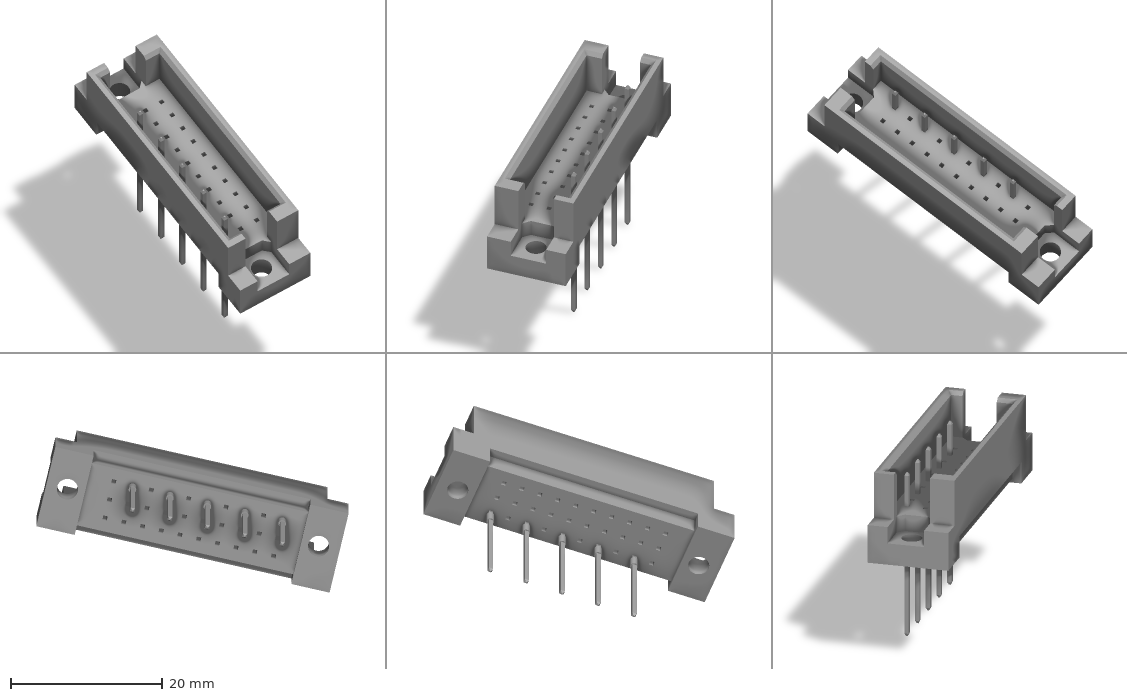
import cadquery as cq

length = 39.8
width = 11.1
height = 11.65
flange_length = 2.9
flange_height = 5.3
shroud_length = length - 2 * flange_length
long_wall = 1.2

relief_length = 29.4
base_bottom = 0.6
side_relief_top = 3.0
side_relief_depth = long_wall

cavity_floor = flange_height
cavity_half_width = width / 2 - long_wall
narrow_cavity_length = 29.1
wide_cavity_length = 31.1
lead_in = 0.5

pocket_y = -0.3
pocket_width = 5.0
pocket_floor = 3.0
pocket_inner_x = 14.7
pocket_corner = 0.9
mount_hole_x = 17.05
mount_hole_diameter = 2.8

pitch = 2.54
columns = 10
rows = 3
grid_x = 0.15
overall_height = 24.6
pin_size = 0.6
pin_bottom = height - overall_height
pin_top = 10.1
point_length = 0.4
point_size = 0.2
collar_diameter = 1.0
collar_length = 1.45
pin_row_y = -pitch
pin_columns = range(1, columns, 2)


def column_x(column):
    return grid_x + (column - (columns - 1) / 2) * pitch


def block(size_x, y_min, y_max, z_min, z_max):
    """Box centred on X = 0."""
    return (
        cq.Workplane("XY", origin=(0, (y_min + y_max) / 2, z_min))
        .rect(size_x, y_max - y_min)
        .extrude(z_max - z_min)
    )


def square_frustum(z_start, size_start, z_end, size_end):
    return (
        cq.Workplane("XY", origin=(0, 0, z_start))
        .rect(size_start, size_start)
        .workplane(offset=z_end - z_start)
        .rect(size_end, size_end)
        .loft(ruled=True)
    )


def make_cavity():
    """Two-width plug space, flared at the rim by a 45 degree lead-in."""
    wide_half = wide_cavity_length / 2
    narrow_half = narrow_cavity_length / 2
    outline = [
        (-wide_half, -cavity_half_width),
        (wide_half, -cavity_half_width),
        (wide_half, pocket_y),
        (narrow_half, pocket_y),
        (narrow_half, cavity_half_width),
        (-narrow_half, cavity_half_width),
        (-narrow_half, pocket_y),
        (-wide_half, pocket_y),
    ]
    cavity = cq.Workplane("XY", origin=(0, 0, cavity_floor)).polyline(outline).close()
    cavity = cavity.extrude(height - cavity_floor)
    flare = (
        cq.Workplane("XY", origin=(0, 0, height))
        .polyline(outline)
        .close()
        .offset2D(lead_in, "intersection")
        .extrude(-lead_in, taper=45)
    )
    return cavity.union(flare)


def make_end_pocket(side):
    """Open-ended mounting pocket with cut inner corners, at side = -1 or +1."""
    pocket_length = length / 2 - pocket_inner_x
    pocket_x = pocket_inner_x + pocket_length / 2
    return (
        cq.Workplane("XY", origin=(side * pocket_x, pocket_y, pocket_floor))
        .rect(pocket_length, pocket_width)
        .extrude(height - pocket_floor)
        .edges("|Z")
        .edges("<X" if side > 0 else ">X")
        .chamfer(pocket_corner)
    )


def make_housing():
    body = block(length, -width / 2, width / 2, 0, flange_height)
    body = body.union(block(shroud_length, -width / 2, width / 2, flange_height, height))

    body = body.cut(block(relief_length, -width / 2, width / 2, 0, base_bottom))
    relief_inner_y = width / 2 - side_relief_depth
    body = body.cut(block(relief_length, -width / 2, -relief_inner_y, 0, side_relief_top))
    body = body.cut(block(relief_length, relief_inner_y, width / 2, 0, side_relief_top))

    body = body.cut(make_cavity())
    pocket_half = pocket_width / 2
    body = body.cut(block(length, pocket_y - pocket_half, pocket_y + pocket_half, cavity_floor, height))

    for side in (-1, 1):
        body = body.cut(make_end_pocket(side))

    mount_holes = (
        cq.Workplane("XY")
        .pushPoints([(side * mount_hole_x, pocket_y) for side in (-1, 1)])
        .circle(mount_hole_diameter / 2)
        .extrude(height)
    )
    contact_holes = (
        cq.Workplane("XY", origin=(grid_x, 0, 0))
        .rarray(pitch, pitch, columns, rows)
        .rect(pin_size, pin_size)
        .extrude(height)
    )
    return body.cut(mount_holes).cut(contact_holes)


def make_pin(x):
    """Square pin with pointed ends and a round collar level with the feet."""
    shank_bottom = pin_bottom + point_length
    shank_top = pin_top - point_length
    pin = (
        cq.Workplane("XY", origin=(0, 0, shank_bottom))
        .rect(pin_size, pin_size)
        .extrude(shank_top - shank_bottom)
    )
    pin = pin.union(square_frustum(shank_bottom, pin_size, pin_bottom, point_size))
    pin = pin.union(square_frustum(shank_top, pin_size, pin_top, point_size))
    collar = cq.Workplane("XY").circle(collar_diameter / 2).extrude(-collar_length)
    return pin.union(collar).translate((x, pin_row_y, 0))


housing = make_housing()
pins = [make_pin(column_x(column)) for column in pin_columns]

result = cq.Compound.makeCompound([housing.val(), *[pin.val() for pin in pins]])